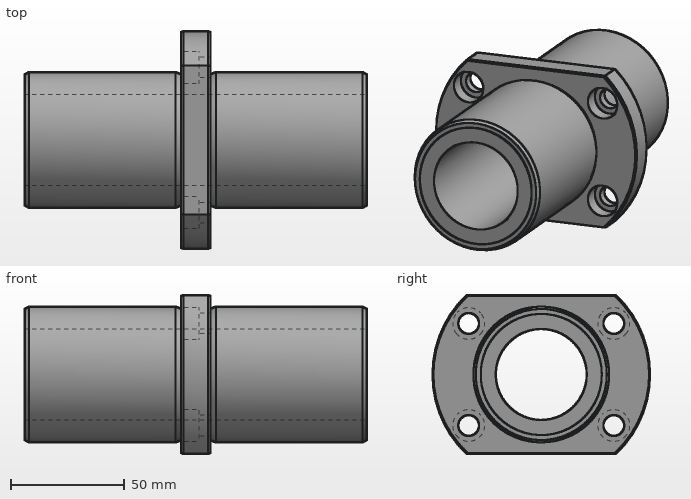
import cadquery as cq
import math

length = 151.0
sleeve_diameter = 60.0
bore_diameter = 40.0
end_bevel_length = 2.0
end_bevel_depth = 1.0

recess_diameter = 53.5
recess_depth = 0.3

flange_diameter = 96.0
flange_height = 70.0
flange_thickness = 13.1
flange_bevel_length = 1.0
flange_bevel_depth = 0.5

neck_width = 2.3
neck_depth = 0.9

hole_diameter = 9.0
counterbore_diameter = 14.0
counterbore_depth = 8.0
hole_spacing_y = 64.0
hole_spacing_z = 45.0

sleeve_radius = sleeve_diameter / 2
neck_radius = sleeve_radius - neck_depth
flange_start = (length - flange_thickness) / 2


def disc(diameter, start, thickness):
    """Cylinder along X whose -X end is at X = start."""
    return cq.Workplane("YZ", origin=(start, 0, 0)).circle(diameter / 2).extrude(thickness)


def make_sleeve():
    """Solid sleeve body with bevelled ends, tapering slightly toward the flange on both sides."""
    bevel_radius = sleeve_radius - end_bevel_depth
    left_neck = flange_start - neck_width
    right_neck = length - left_neck
    profile = [
        (0, 0),
        (0, bevel_radius),
        (end_bevel_length, sleeve_radius),
        (left_neck, sleeve_radius),
        (flange_start, neck_radius),
        (length - flange_start, neck_radius),
        (right_neck, sleeve_radius),
        (length - end_bevel_length, sleeve_radius),
        (length, bevel_radius),
        (length, 0),
    ]
    return cq.Workplane("XY").polyline(profile).close().revolve(360, (0, 0, 0), (1, 0, 0))


def flange_plate():
    """Disc with a flat on its top and bottom."""
    radius = flange_diameter / 2
    half_height = flange_height / 2
    half_flat = math.sqrt(radius**2 - half_height**2)
    outline = (
        cq.Workplane("YZ", origin=(flange_start, 0, 0))
        .moveTo(-half_flat, half_height)
        .lineTo(half_flat, half_height)
        .threePointArc((radius, 0), (half_flat, -half_height))
        .lineTo(-half_flat, -half_height)
        .threePointArc((-radius, 0), (-half_flat, half_height))
        .close()
    )
    return outline.extrude(flange_thickness)


def make_flange():
    """Flange with flats on top and bottom and a shallow bevel around both faces."""
    plate = flange_plate()
    rim_edges = plate.faces("<X or >X").edges().vals()
    bevelled = plate.val().chamfer(flange_bevel_length, flange_bevel_depth, rim_edges)
    return cq.Workplane("YZ").newObject([bevelled])


def cut_mounting_holes(body):
    """Four counterbored holes through the flange."""
    for y in (-hole_spacing_y / 2, hole_spacing_y / 2):
        for z in (-hole_spacing_z / 2, hole_spacing_z / 2):
            through = disc(hole_diameter, flange_start, flange_thickness)
            counterbore = disc(counterbore_diameter, flange_start, counterbore_depth)
            body = body.cut(through.union(counterbore).translate((0, y, z)))
    return body


def cut_bore(body):
    """Through bore with a shallow recess at both ends."""
    body = body.cut(disc(bore_diameter, 0, length))
    for start in (0, length - recess_depth):
        body = body.cut(disc(recess_diameter, start, recess_depth))
    return body


body = make_sleeve().union(make_flange())
body = cut_mounting_holes(body)
body = cut_bore(body)
result = body.translate((-length / 2, 0, 0))